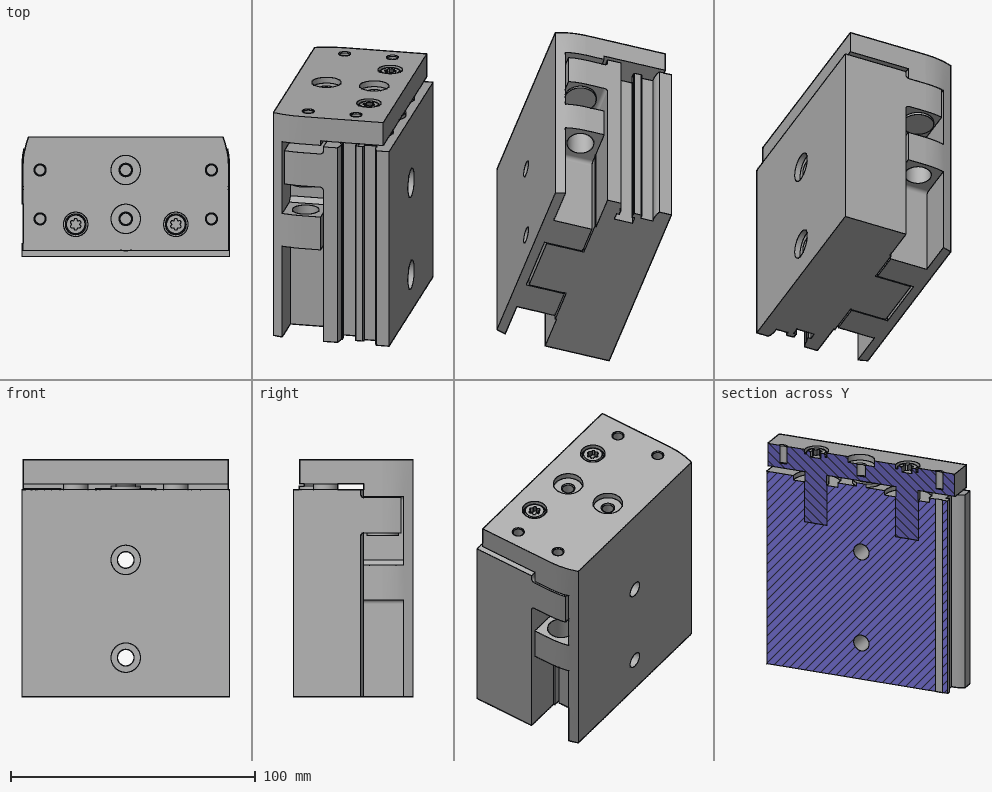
import cadquery as cq
import math

TOTAL_DEPTH = 49.0
TOTAL_HEIGHT = 97.0

HOUSING_WIDTH = 85.0
HOUSING_HEIGHT = 84.7
HOUSING_BACK = 28.0
HOUSING_LEFT = -HOUSING_WIDTH / 2

SLIDE_WIDTH = 84.0
TOP_PLATE_FRONT = 2.5
TOP_PLATE_BOTTOM = 87.0
BLOCK_FRONT = 28.7
BACK_PLATE_INNER = 45.0

FLANK_START = 36.6
FLANK_RADIUS = 35.7

LIP_DEPTH = 5.2
LIP_BACK = 6.3
NECK_X = -37.0
TONGUE_X = -38.7
TONGUE_FRONT = 11.4
TONGUE_BACK = 15.0
TONGUE_CHAMFER = 0.4
SLOT_BACK = 20.5
SLOT_THROAT_X = -36.4
SLOT_FLOOR_X = -33.3
SLOT_UNDERCUT = 1.2
SHOULDER_Y = 21.6
ROUND_END_X = -38.3
LIP_ROUND_RADIUS = 8.7
SHOULDER_RADIUS = 11.6
SLOT_LIP_STEP = 0.4

FLANGE_BOTTOM = 67.0
FLANGE_TOP = 81.5
FLANGE_BACK = 43.9
FLANGE_INNER_X = 27.0
FLANGE_ROOT_RADIUS = 1.5
RELIEF_BACK = 27.45
RAIL_WIDTH = 24.1
BUMPER_DIAMETER = 13.0
BUMPER_BOTTOM = 66.0
BUMPER_X = 34.5
BUMPER_Y = 36.6

MOUNT_HOLE_Z = (16.0, 56.0)
MOUNT_HOLE_DIAMETER = 6.7
MOUNT_BORE_DIAMETER = 12.0
MOUNT_BORE_DEPTH = 2.4

GUIDE_X = 20.5
GUIDE_Y = 13.2
GUIDE_DIAMETER = 10.1
GUIDE_BOTTOM = 65.3
SEAL_DIAMETER = 20.0
SEAL_DEPTH = 1.9
PISTON_Y = 8.3
PISTON_DIAMETER = 8.0
PISTON_BOTTOM = 65.3
COLLAR_DIAMETER = 12.0
COLLAR_TOP = 86.1

RIB_OUTER_X = 25.1
CHANNEL_WIDTH = 24.8
UPPER_BLOCK_BOTTOM = 85.1
RIGHT_BLOCK_BOTTOM = 81.9
STOP_TOP = 53.8
STOP_BOTTOM = 39.6
POCKET_FILLET = 1.65
STOP_CHAMFER = 2.0
STOP_HOLE_DIAMETER = 11.0

PLATE_HOLE_Y = (15.4, 35.4)
CORNER_HOLE_X = 35.0
CORNER_THREAD_DIAMETER = 4.2
CENTER_THREAD_DIAMETER = 4.7
THREAD_DEPTH = 7.8
CORNER_MOUTH_DIAMETER = 4.9
CENTER_MOUTH_DIAMETER = 5.5
PLATE_BORE_DIAMETER = 12.0
PLATE_BORE_DEPTH = 2.5
SCREW_BORE_DIAMETER = 10.0
SCREW_BORE_DEPTH = 1.9
SCREW_HEAD_DIAMETER = 8.5
SCREW_HEAD_HEIGHT = 1.5
SCREW_HEAD_CHAMFER = 0.5
STAR_OUTER_RADIUS = 2.3
STAR_INNER_RADIUS = 1.65
STAR_POINTS = 6
STAR_TIP_HALF_ANGLE = 10.0
STAR_DEPTH = 2.4


def box(x0, x1, y0, y1, z0, z1):
    """Axis-aligned block between two opposite corners."""
    return cq.Workplane("XY").box(x1 - x0, y1 - y0, z1 - z0, centered=False).translate((x0, y0, z0))


def cylinder(diameter, x, y, z0, z1):
    """Vertical cylinder between two heights."""
    return cq.Workplane("XY").workplane(offset=z0).center(x, y).circle(diameter / 2).extrude(z1 - z0)


def flank_outline(half_width, front, back):
    """Plan outline with straight sides that curve inward towards the back."""

    def flank_x(y):
        rise = y - FLANK_START
        return half_width - FLANK_RADIUS + math.sqrt(FLANK_RADIUS ** 2 - rise ** 2)

    middle = (FLANK_START + back) / 2
    return (
        cq.Workplane("XY")
        .moveTo(-half_width, front)
        .lineTo(half_width, front)
        .lineTo(half_width, FLANK_START)
        .threePointArc((flank_x(middle), middle), (flank_x(back), back))
        .lineTo(-flank_x(back), back)
        .threePointArc((-flank_x(middle), middle), (-half_width, FLANK_START))
        .close()
    )


def front_hole(diameter, z, depth):
    """Cutter along +Y that starts on the front face."""
    return cq.Workplane("XZ").center(0, z).circle(diameter / 2).extrude(-depth)


def housing_profile():
    """Extruded body whose left flank carries the T-shaped and sensor grooves."""
    left = HOUSING_LEFT
    return (
        cq.Workplane("XY")
        .moveTo(-left, 0)
        .lineTo(left, 0)
        .lineTo(left, LIP_DEPTH)
        .radiusArc((ROUND_END_X, LIP_BACK), LIP_ROUND_RADIUS)
        .lineTo(NECK_X, LIP_BACK)
        .lineTo(NECK_X, TONGUE_FRONT)
        .lineTo(TONGUE_X + TONGUE_CHAMFER, TONGUE_FRONT)
        .lineTo(TONGUE_X, TONGUE_FRONT + TONGUE_CHAMFER)
        .lineTo(TONGUE_X, TONGUE_BACK - TONGUE_CHAMFER)
        .lineTo(TONGUE_X + TONGUE_CHAMFER, TONGUE_BACK)
        .lineTo(SLOT_THROAT_X, TONGUE_BACK)
        .lineTo(SLOT_THROAT_X, TONGUE_BACK - SLOT_UNDERCUT)
        .lineTo(SLOT_FLOOR_X, TONGUE_BACK - SLOT_UNDERCUT)
        .lineTo(SLOT_FLOOR_X, SLOT_BACK + SLOT_UNDERCUT)
        .lineTo(SLOT_THROAT_X, SLOT_BACK + SLOT_UNDERCUT)
        .lineTo(SLOT_THROAT_X, SLOT_BACK)
        .lineTo(ROUND_END_X, SLOT_BACK)
        .lineTo(ROUND_END_X, SLOT_BACK + SLOT_LIP_STEP)
        .radiusArc((left, SHOULDER_Y), SHOULDER_RADIUS)
        .lineTo(left, RELIEF_BACK)
        .lineTo(-FLANGE_INNER_X, RELIEF_BACK)
        .lineTo(-FLANGE_INNER_X, HOUSING_BACK)
        .lineTo(FLANGE_INNER_X, HOUSING_BACK)
        .lineTo(FLANGE_INNER_X, RELIEF_BACK)
        .lineTo(-left, RELIEF_BACK)
        .close()
        .extrude(HOUSING_HEIGHT)
    )


def root_fillet(x0, edge_z, direction):
    """Concave fillet where a flange face at edge_z meets the back of the housing."""
    radius = FLANGE_ROOT_RADIUS
    arc_inset = radius * (1 - math.sqrt(0.5))
    return (
        cq.Workplane("YZ", origin=(x0, 0, 0))
        .moveTo(RELIEF_BACK, edge_z)
        .lineTo(RELIEF_BACK + radius, edge_z)
        .threePointArc(
            (RELIEF_BACK + arc_inset, edge_z + direction * arc_inset),
            (RELIEF_BACK, edge_z + direction * radius),
        )
        .close()
        .extrude(HOUSING_WIDTH / 2 - FLANGE_INNER_X)
    )


def stop_flanges():
    """Left and right flanges that stand off the back face, each with a bumper."""
    height = FLANGE_TOP - FLANGE_BOTTOM
    flanges = flank_outline(HOUSING_WIDTH / 2, RELIEF_BACK, FLANGE_BACK).extrude(height)
    flanges = flanges.translate((0, 0, FLANGE_BOTTOM))
    flanges = flanges.cut(
        box(-FLANGE_INNER_X, FLANGE_INNER_X, RELIEF_BACK, FLANGE_BACK, FLANGE_BOTTOM, FLANGE_TOP)
    )
    for x0 in (HOUSING_LEFT, FLANGE_INNER_X):
        flanges = flanges.union(root_fillet(x0, FLANGE_TOP, 1))
        flanges = flanges.union(root_fillet(x0, FLANGE_BOTTOM, -1))
    for x in (-BUMPER_X, BUMPER_X):
        flanges = flanges.union(cylinder(BUMPER_DIAMETER, x, BUMPER_Y, BUMPER_BOTTOM, FLANGE_BOTTOM))
    return flanges


def make_housing():
    body = housing_profile().union(stop_flanges())
    body = body.union(box(-RAIL_WIDTH / 2, RAIL_WIDTH / 2, HOUSING_BACK, FLANGE_BACK, 0, HOUSING_HEIGHT))
    body = body.union(cylinder(COLLAR_DIAMETER, 0, PISTON_Y, HOUSING_HEIGHT, COLLAR_TOP))
    body = body.cut(cylinder(PISTON_DIAMETER, 0, PISTON_Y, PISTON_BOTTOM, COLLAR_TOP))
    for x in (-GUIDE_X, GUIDE_X):
        body = body.cut(cylinder(SEAL_DIAMETER, x, GUIDE_Y, HOUSING_HEIGHT - SEAL_DEPTH, HOUSING_HEIGHT))
        body = body.cut(cylinder(GUIDE_DIAMETER, x, GUIDE_Y, GUIDE_BOTTOM, HOUSING_HEIGHT))
    for z in MOUNT_HOLE_Z:
        body = body.cut(front_hole(MOUNT_HOLE_DIAMETER, z, TOTAL_DEPTH))
        body = body.cut(front_hole(MOUNT_BORE_DIAMETER, z, MOUNT_BORE_DEPTH))
    return body


def side_pocket(side, bottom, top, floor_chamfer):
    """Pocket outside a rib: filleted under its roof, optionally chamfered at its floor."""
    rib = RIB_OUTER_X
    outer = HOUSING_WIDTH / 2
    arc_inset = POCKET_FILLET * (1 - math.sqrt(0.5))
    outline = (
        cq.Workplane("XZ", origin=(0, BLOCK_FRONT, 0))
        .moveTo(side * outer, bottom)
        .lineTo(side * outer, top)
        .lineTo(side * (rib + POCKET_FILLET), top)
        .threePointArc(
            (side * (rib + arc_inset), top - arc_inset),
            (side * rib, top - POCKET_FILLET),
        )
        .lineTo(side * rib, bottom + floor_chamfer)
    )
    if floor_chamfer > 0:
        outline = outline.lineTo(side * (rib + floor_chamfer), bottom)
    return outline.close().extrude(BLOCK_FRONT - BACK_PLATE_INNER)


def slide_body():
    """L-shaped top and back plates with two ribs and a stop block on each side."""
    plan = flank_outline(SLIDE_WIDTH / 2, TOP_PLATE_FRONT, TOTAL_DEPTH)
    body = plan.extrude(TOTAL_HEIGHT)
    half = SLIDE_WIDTH / 2
    body = body.cut(box(-half, half, TOP_PLATE_FRONT, BLOCK_FRONT, 0, TOP_PLATE_BOTTOM))
    channel = CHANNEL_WIDTH / 2
    body = body.cut(box(-channel, channel, BLOCK_FRONT, BACK_PLATE_INNER, 0, UPPER_BLOCK_BOTTOM))
    for side, roof in ((-1, UPPER_BLOCK_BOTTOM), (1, RIGHT_BLOCK_BOTTOM)):
        body = body.cut(side_pocket(side, 0, STOP_BOTTOM, 0))
        body = body.cut(side_pocket(side, STOP_TOP, roof, STOP_CHAMFER))
        body = body.cut(cylinder(STOP_HOLE_DIAMETER, side * BUMPER_X, BUMPER_Y, STOP_BOTTOM, STOP_TOP))
    return body


def threaded_hole(x, y, top, diameter, mouth_diameter):
    """Blind thread hole with a 45-degree chamfered mouth."""
    chamfer = (mouth_diameter - diameter) / 2
    hole = cylinder(diameter, x, y, TOTAL_HEIGHT - THREAD_DEPTH, top)
    mouth = cq.Workplane(
        cq.Solid.makeCone(diameter / 2, mouth_diameter / 2, chamfer, pnt=cq.Vector(x, y, top - chamfer))
    )
    return hole.union(mouth)


def star_socket(x, y, top):
    """Six-pointed screw socket with blunt tips."""
    points = []
    for i in range(STAR_POINTS):
        tip_angle = 90 + i * 360 / STAR_POINTS
        corners = (
            (STAR_OUTER_RADIUS, tip_angle - STAR_TIP_HALF_ANGLE),
            (STAR_OUTER_RADIUS, tip_angle + STAR_TIP_HALF_ANGLE),
            (STAR_INNER_RADIUS, tip_angle + 180 / STAR_POINTS),
        )
        for radius, degrees in corners:
            angle = math.radians(degrees)
            points.append((x + radius * math.cos(angle), y + radius * math.sin(angle)))
    return cq.Workplane("XY").workplane(offset=top).polyline(points).close().extrude(-STAR_DEPTH)


def add_guide_screw(body, x):
    """Sunk screw head above a guide rod."""
    floor = TOTAL_HEIGHT - SCREW_BORE_DEPTH
    head_top = floor + SCREW_HEAD_HEIGHT
    head = cylinder(SCREW_HEAD_DIAMETER, x, GUIDE_Y, floor, head_top).faces(">Z").chamfer(SCREW_HEAD_CHAMFER)
    body = body.cut(cylinder(SCREW_BORE_DIAMETER, x, GUIDE_Y, floor, TOTAL_HEIGHT))
    return body.union(head).cut(star_socket(x, GUIDE_Y, head_top))


def make_slide():
    body = slide_body()
    for y in PLATE_HOLE_Y:
        bore_floor = TOTAL_HEIGHT - PLATE_BORE_DEPTH
        body = body.cut(cylinder(PLATE_BORE_DIAMETER, 0, y, bore_floor, TOTAL_HEIGHT))
        body = body.cut(threaded_hole(0, y, bore_floor, CENTER_THREAD_DIAMETER, CENTER_MOUTH_DIAMETER))
        for x in (-CORNER_HOLE_X, CORNER_HOLE_X):
            body = body.cut(threaded_hole(x, y, TOTAL_HEIGHT, CORNER_THREAD_DIAMETER, CORNER_MOUTH_DIAMETER))
    for z in MOUNT_HOLE_Z:
        body = body.cut(front_hole(MOUNT_HOLE_DIAMETER, z, TOTAL_DEPTH))
    for x in (-GUIDE_X, GUIDE_X):
        body = body.union(cylinder(GUIDE_DIAMETER, x, GUIDE_Y, GUIDE_BOTTOM, TOP_PLATE_BOTTOM))
        body = add_guide_screw(body, x)
    return body.union(cylinder(PISTON_DIAMETER, 0, PISTON_Y, PISTON_BOTTOM, TOP_PLATE_BOTTOM))


housing = make_housing()
slide = make_slide()
result = cq.Compound.makeCompound([housing.val(), slide.val()])